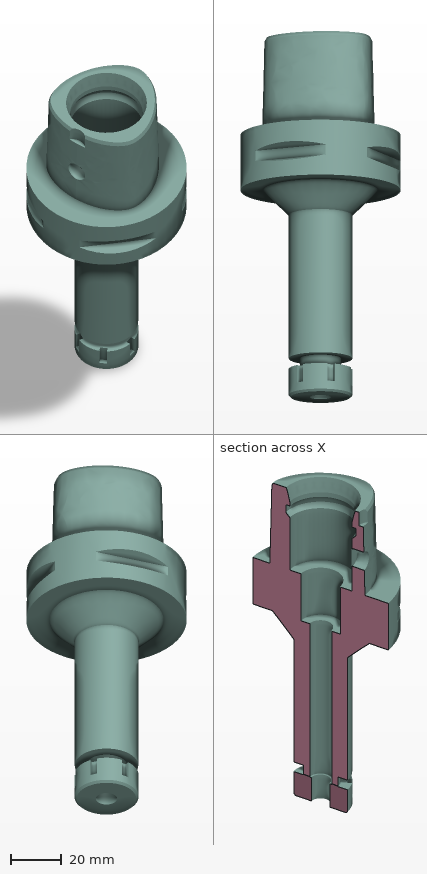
import cadquery as cq
import math

total_length = 143.0
nut_length = 11.2
neck_length = 4.3
cone_height = 10.0
flange_thickness = 22.0
taper_length = 38.0
taper_base_z = total_length - taper_length
flange_bottom_z = taper_base_z - flange_thickness
cone_bottom_z = flange_bottom_z - cone_height
shank_bottom_z = nut_length + neck_length

flange_dia = 63.0
shank_dia = 25.0
neck_dia = 16.2
shank_radius = shank_dia / 2
cone_top_radius = shank_radius + cone_height

lobe_count = 3
lobe_height = 1.6
half_loop_spans = 12
taper_slope = 1 / 40
taper_base_radius = 22.2
lead_in_height = 1.5
lead_in_inset = 0.7

mouth_radius = 15.9
mouth_depth = 6.1
bore_radius = 14.3
groove_top_depth = 8.3
groove_radius = 16.2
groove_bottom_depth = 11.7
bore_depth = taper_length
counterbore_radius = 9.0
counterbore_depth = bore_depth + flange_thickness
bolt_hole_radius = 5.0

keyway_radius = 5.0
keyway_axis_offset = 22.9
keyway_depth = 6.3
pin_hole_dia = 8.2
pin_hole_drop = 22.3
pin_hole_floor_offset = 14.9

pocket_count = 4
pocket_floor_offset = 27.6
pocket_floor_height = 4.0
pocket_side_flare = 1.7
pocket_drop = 11.9

nut_dia = 25.2
nut_chamfer = 0.9
nut_hole_dia = 8.5
slot_count = 6
slot_width = 3.0
slot_height = 7.0
slot_floor_offset = 10.7


def turned(profile):
    """Revolve a profile of (radius, height) points around the Z axis."""
    return cq.Workplane("XZ").polyline(profile).close().revolve(360, (0, 0), (0, 1))


def lobed_point(mean_radius, turn):
    """Point of a constant-width three-lobed curve whose outward normal has the given angle."""
    normal = turn - math.pi / 2
    lobe_angle = lobe_count * (normal - math.pi / 2)
    support = mean_radius + lobe_height * math.cos(lobe_angle)
    slide = -lobe_count * lobe_height * math.sin(lobe_angle)
    x = support * math.cos(normal) - slide * math.sin(normal)
    y = support * math.sin(normal) + slide * math.cos(normal)
    return x, y


def lobed_half(mean_radius, z, start_turn, end_tangents):
    """Half of the lobed curve, as a spline that runs on with the angle of its outward normal."""
    turns = [start_turn + i * math.pi / half_loop_spans for i in range(half_loop_spans + 1)]
    points = [cq.Vector(*lobed_point(mean_radius, turn), z) for turn in turns]
    return cq.Edge.makeSpline(points, tangents=end_tangents, parameters=turns, scale=False)


def lobed_loop(mean_radius, z):
    """Closed loop of two halves that meet on the -Y and +Y sides."""
    curvature_swing = (lobe_count**2 - 1) * lobe_height
    flat_tangent = cq.Vector(mean_radius + curvature_swing, 0, 0)
    lobe_tangent = cq.Vector(curvature_swing - mean_radius, 0, 0)
    right_half = lobed_half(mean_radius, z, 0, [flat_tangent, lobe_tangent])
    left_half = lobed_half(mean_radius, z, math.pi, [lobe_tangent, flat_tangent])
    return cq.Wire.assembleEdges([right_half, left_half])


def make_taper():
    lead_in_z = total_length - lead_in_height
    lead_in_radius = taper_base_radius - taper_slope * (lead_in_z - taper_base_z)
    loops = [
        lobed_loop(taper_base_radius, taper_base_z),
        lobed_loop(lead_in_radius, lead_in_z),
        lobed_loop(lead_in_radius - lead_in_inset, total_length),
    ]
    return cq.Workplane(cq.Solid.makeLoft(loops, True))


def make_turned_outside():
    flange_radius = flange_dia / 2
    neck_radius = neck_dia / 2
    return turned([
        (0, nut_length),
        (neck_radius, nut_length),
        (neck_radius, shank_bottom_z),
        (shank_radius, shank_bottom_z),
        (shank_radius, cone_bottom_z),
        (cone_top_radius, flange_bottom_z),
        (flange_radius, flange_bottom_z),
        (flange_radius, taper_base_z),
        (0, taper_base_z),
    ])


def make_bore():
    flank = groove_radius - bore_radius
    steps = [
        (0, 0),
        (mouth_radius, 0),
        (bore_radius, mouth_depth),
        (bore_radius, groove_top_depth),
        (groove_radius, groove_top_depth),
        (groove_radius, groove_bottom_depth),
        (bore_radius, groove_bottom_depth + flank),
        (bore_radius, bore_depth),
        (counterbore_radius, bore_depth),
        (counterbore_radius, counterbore_depth),
        (bolt_hole_radius, counterbore_depth),
        (bolt_hole_radius, total_length - nut_length),
        (0, total_length - nut_length),
    ]
    return turned([(radius, total_length - depth) for radius, depth in steps])


def make_keyway():
    return (
        cq.Workplane("XY", origin=(0, -keyway_axis_offset, total_length - keyway_depth))
        .circle(keyway_radius)
        .extrude(keyway_depth)
    )


def make_pin_hole():
    return (
        cq.Workplane("XZ", origin=(0, -pin_hole_floor_offset, total_length - pin_hole_drop))
        .circle(pin_hole_dia / 2)
        .extrude(flange_dia / 2 - pin_hole_floor_offset)
    )


def make_pocket(angle):
    """Flat-floored pocket with flared sides, cut across the flange rim."""
    depth = flange_dia / 2 - pocket_floor_offset
    floor_half = pocket_floor_height / 2
    mouth_half = floor_half + pocket_side_flare
    return (
        cq.Workplane("XZ", origin=(0, 0, taper_base_z - pocket_drop))
        .moveTo(pocket_floor_offset, -floor_half)
        .lineTo(pocket_floor_offset + depth, -mouth_half)
        .lineTo(pocket_floor_offset + depth, mouth_half)
        .lineTo(pocket_floor_offset, floor_half)
        .close()
        .extrude(flange_dia / 2, both=True)
        .rotate((0, 0, 0), (0, 0, 1), angle)
    )


def make_holder():
    holder = make_turned_outside().union(make_taper())
    holder = holder.cut(make_bore()).cut(make_keyway()).cut(make_pin_hole())
    for i in range(pocket_count):
        holder = holder.cut(make_pocket((i + 0.5) * 360 / pocket_count))
    return holder


def make_nut():
    nut_radius = nut_dia / 2
    hole_radius = nut_hole_dia / 2
    nut = turned([
        (hole_radius, 0),
        (nut_radius - nut_chamfer, 0),
        (nut_radius, nut_chamfer),
        (nut_radius, nut_length),
        (hole_radius, nut_length),
    ])
    slot = (
        cq.Workplane("XY", origin=(slot_floor_offset, 0, nut_length - slot_height))
        .box(nut_radius - slot_floor_offset, slot_width, slot_height, centered=(False, True, False))
    )
    for i in range(slot_count):
        nut = nut.cut(slot.rotate((0, 0, 0), (0, 0, 1), i * 360 / slot_count))
    return nut


holder = make_holder()
nut = make_nut()
result = cq.Compound.makeCompound([holder.val(), nut.val()])